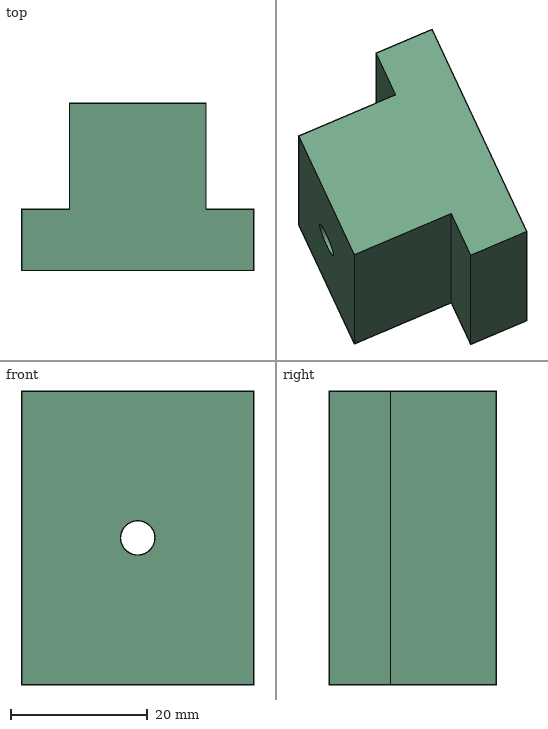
import cadquery as cq

height = 43.0
flange_width = 34.0
flange_depth = 9.0
stem_width = 20.0
total_depth = 24.5
hole_diameter = 5.0

flange = cq.Workplane("XY").box(flange_width, flange_depth, height, centered=(True, False, True))

stem = cq.Workplane("XY").box(stem_width, total_depth, height, centered=(True, False, True))

hole = cq.Workplane("XZ").circle(hole_diameter / 2).extrude(-total_depth)

result = flange.union(stem).cut(hole)